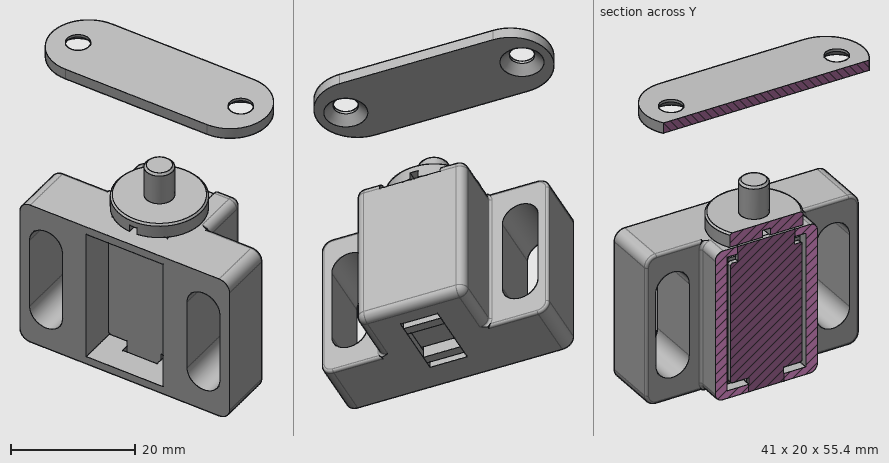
import cadquery as cq


housing_width = 40.0
housing_depth = 20.0
housing_height = 28.0
wall = 1.5
flange_depth = 10.0
flange_corner_radius = 2.0
flange_rear_radius = 0.5
block_width = 19.2
block_edge_radius = 1.5
root_radius = 0.45
middle_z = housing_height / 2

mounting_slot_width = 6.25
mounting_slot_length = 19.7
mounting_slot_spacing = 30.0

axis_y = 10.4

cavity_width = 14.7
cavity_height = housing_height - 2 * wall
guide_front = 4.55
cavity_depth = 2 * axis_y - guide_front

pole_count = 2
pole_front = 5.75
pole_thickness = 1.5
pole_bottom = 2.6
pole_top = 25.15
pole_corner_radius = 0.5
top_tongue_width = 10.65
bottom_tongue_width = 6.55
magnet_width = 13.5
magnet_height = 23.55
pole_pitch = 2 * (axis_y - pole_front) - pole_thickness
magnet_thickness = pole_pitch - pole_thickness

tip_gap = 0.2
head_diameter = 15.85
head_height = 2.65
head_chamfer = 0.35
stem_diameter = 5.0
stem_length = 6.05
stem_chamfer = 0.4
driver_slot_width = 1.4
driver_slot_depth = 1.3

strike_length = 41.0
strike_width = 14.0
strike_thickness = 2.0
strike_top = 55.4
strike_hole_diameter = 4.1
strike_countersink_diameter = 7.1
strike_countersink_angle = 90
strike_hole_spacing = 31.0


def box_between(width, y_front, y_rear, z_bottom, z_top):
    """Box centred on X = 0 between the given Y and Z limits."""
    return (
        cq.Workplane("XY")
        .box(width, y_rear - y_front, z_top - z_bottom, centered=(True, False, False))
        .translate((0, y_front, z_bottom))
    )


def make_flange():
    """Flat flange with round corners and a softened rear edge."""
    return (
        box_between(housing_width, 0, flange_depth, 0, housing_height)
        .edges("|Y")
        .fillet(flange_corner_radius)
        .faces(">Y")
        .edges()
        .fillet(flange_rear_radius)
    )


def make_rear_block():
    """Block behind the flange, rounded on every edge except at its root."""
    return (
        box_between(block_width, flange_depth / 2, housing_depth, 0, housing_height)
        .edges("|Y or >Y")
        .fillet(block_edge_radius)
    )


def root_fillet_profile():
    """Concave round between one block side and the flange, at the upper end of the straight side."""
    side_x = block_width / 2
    outer_x = side_x + root_radius
    seat_y = flange_depth - flange_rear_radius
    rear_y = flange_depth + root_radius
    arc_inset = root_radius * (1 - 0.5**0.5)
    return (
        cq.Workplane("XY", origin=(0, 0, housing_height - block_edge_radius))
        .moveTo(side_x, seat_y)
        .lineTo(outer_x, seat_y)
        .lineTo(outer_x, flange_depth)
        .threePointArc((side_x + arc_inset, flange_depth + arc_inset), (side_x, rear_y))
        .close()
    )


def make_root_fillet():
    """Concave round along one block side, bent around the block's upper and lower edges."""
    bend_x = block_width / 2 - block_edge_radius
    straight = root_fillet_profile().extrude(-(housing_height - 2 * block_edge_radius))
    upper_bend = root_fillet_profile().revolve(90, (bend_x, 0.55), (bend_x, 0))
    lower_bend = upper_bend.mirror("XY", (0, 0, middle_z))
    envelope = box_between(housing_width, 0, housing_depth, 0, housing_height)
    return straight.union(upper_bend).union(lower_bend).intersect(envelope)


def make_housing():
    root_fillet = make_root_fillet()
    body = make_flange().union(make_rear_block())
    body = body.union(root_fillet).union(root_fillet.mirror("YZ"))

    mounting_slots = (
        cq.Workplane("XZ", origin=(0, 0, middle_z))
        .pushPoints([(-mounting_slot_spacing / 2, 0), (mounting_slot_spacing / 2, 0)])
        .slot2D(mounting_slot_length, mounting_slot_width, 90)
        .extrude(-flange_depth)
    )
    cavity = box_between(cavity_width, 0, cavity_depth, wall, wall + cavity_height)
    top_guide = box_between(
        top_tongue_width, guide_front, housing_depth, housing_height - wall, housing_height
    )
    bottom_guide = box_between(bottom_tongue_width, guide_front, cavity_depth, 0, wall)
    return body.cut(mounting_slots).cut(cavity).cut(top_guide).cut(bottom_guide)


def make_pole_plate(y_front):
    """Pole plate with a wide tongue up and a narrow tongue down, flush with the housing."""
    y_rear = y_front + pole_thickness
    plate = (
        box_between(magnet_width, y_front, y_rear, pole_bottom, pole_top)
        .edges("|Y")
        .fillet(pole_corner_radius)
    )
    top_tongue = box_between(top_tongue_width, y_front, y_rear, middle_z, housing_height)
    bottom_tongue = box_between(bottom_tongue_width, y_front, y_rear, 0, middle_z)
    return plate.union(top_tongue).union(bottom_tongue)


def make_magnet():
    """Plain block filling the space between the pole plates."""
    y_front = pole_front + pole_thickness
    z_bottom = middle_z - magnet_height / 2
    return box_between(
        magnet_width, y_front, y_front + magnet_thickness, z_bottom, z_bottom + magnet_height
    )


def make_armature_screw():
    """Disc head with a driver slot underneath and a stem on top."""
    head_bottom = housing_height + tip_gap
    head = (
        cq.Workplane("XY", origin=(0, axis_y, head_bottom))
        .circle(head_diameter / 2)
        .extrude(head_height)
        .faces(">Z")
        .chamfer(head_chamfer)
    )
    stem = (
        cq.Workplane("XY", origin=(0, axis_y, head_bottom + head_height))
        .circle(stem_diameter / 2)
        .extrude(stem_length)
        .faces(">Z")
        .chamfer(stem_chamfer)
    )
    driver_slot = box_between(
        driver_slot_width,
        axis_y - head_diameter / 2,
        axis_y + head_diameter / 2,
        head_bottom,
        head_bottom + driver_slot_depth,
    )
    return head.union(stem).cut(driver_slot)


def make_strike_plate():
    """Plate with round ends and two screw holes countersunk from below."""
    return (
        cq.Workplane("XY", origin=(0, axis_y, strike_top - strike_thickness))
        .slot2D(strike_length, strike_width)
        .extrude(strike_thickness)
        .faces("<Z")
        .workplane(origin=(0, axis_y, strike_top - strike_thickness))
        .pushPoints([(-strike_hole_spacing / 2, 0), (strike_hole_spacing / 2, 0)])
        .cskHole(strike_hole_diameter, strike_countersink_diameter, strike_countersink_angle)
    )


housing = make_housing()
pole_plates = [make_pole_plate(pole_front + i * pole_pitch) for i in range(pole_count)]
magnet = make_magnet()
armature_screw = make_armature_screw()
strike_plate = make_strike_plate()

result = cq.Compound.makeCompound(
    [
        housing.val(),
        *[plate.val() for plate in pole_plates],
        magnet.val(),
        armature_screw.val(),
        strike_plate.val(),
    ]
)